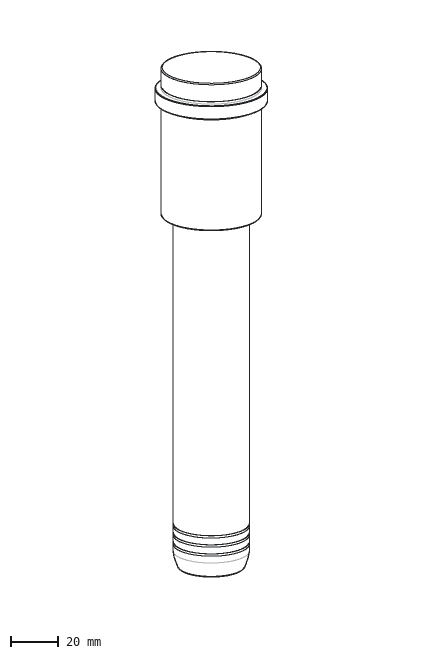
import cadquery as cq

total_length = 220.0
head_length = 65.0
collar_drop = 9.0
collar_height = 6.0

head_radius = 42.0 / 2
collar_radius = 47.0 / 2
pin_radius = 32.0 / 2

head_chamfer = 0.5
collar_chamfer = 0.3

groove_radius = 0.5
oil_groove_count = 3
oil_groove_pitch = 4.0
first_oil_groove_height = 10.5

nose_length = 7.0
nose_end_radius = 14.2
nose_bulge = 0.3
tip_chamfer = 0.5

head_bottom = total_length - head_length
collar_top = total_length - collar_drop
collar_bottom = collar_top - collar_height


def cylinder(radius, bottom, top):
    """Solid cylinder about Z between two heights."""
    return cq.Workplane("XY").workplane(offset=bottom).circle(radius).extrude(top - bottom)


def groove_cutter(radius, middle_height):
    """Ring of round section, centred on a cylinder wall, that cuts a half-round groove."""
    return (
        cq.Workplane("XZ")
        .center(radius, middle_height)
        .circle(groove_radius)
        .revolve(360, (-radius, 0, 0), (-radius, 1, 0))
    )


def make_pin():
    """Long pin with a bowed lead-in at its lower end."""
    nose_middle_radius = (pin_radius + nose_end_radius) / 2 + nose_bulge
    nose_middle_height = (nose_length + tip_chamfer) / 2
    return (
        cq.Workplane("XZ")
        .lineTo(nose_end_radius - tip_chamfer, 0)
        .lineTo(nose_end_radius, tip_chamfer)
        .threePointArc((nose_middle_radius, nose_middle_height), (pin_radius, nose_length))
        .lineTo(pin_radius, head_bottom)
        .lineTo(0, head_bottom)
        .close()
        .revolve(360, (0, 0, 0), (0, 1, 0))
    )


def cut_pin_relief(pin):
    """Relief groove in the pin directly under the head."""
    return pin.cut(groove_cutter(pin_radius, head_bottom - groove_radius))


def cut_oil_grooves(pin):
    """Evenly spaced grooves just above the nose."""
    for index in range(oil_groove_count):
        middle_height = first_oil_groove_height + index * oil_groove_pitch
        pin = pin.cut(groove_cutter(pin_radius, middle_height))
    return pin


def make_head():
    """Head cylinder with a collar between two relief grooves."""
    head = cylinder(head_radius, head_bottom, total_length).faces("<Z or >Z").chamfer(head_chamfer)
    collar = cylinder(collar_radius, collar_bottom, collar_top).faces("<Z or >Z").chamfer(collar_chamfer)
    for middle_height in (collar_top + groove_radius, collar_bottom - groove_radius):
        head = head.cut(groove_cutter(head_radius, middle_height))
    return head.union(collar)


pin = cut_oil_grooves(cut_pin_relief(make_pin()))
result = pin.union(make_head())